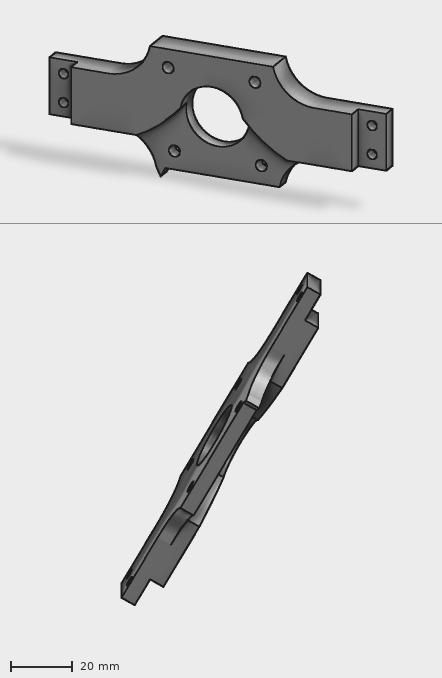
import cadquery as cq
import math

length = 120.0
thickness = 10.0
rear_thickness = thickness / 2
bar_half_height = 10.0
plate_half_size = 22.0
half_length = length / 2

shoulder_radius = 15.0
shoulder_centre_z = bar_half_height + shoulder_radius
shoulder_run = math.sqrt(shoulder_radius**2 - (shoulder_centre_z - plate_half_size) ** 2)
shoulder_centre_x = plate_half_size + shoulder_run

tab_length = 10.0
tab_hole_x = 55.0
tab_hole_z = 5.0
tab_hole_diameter = 3.4
bore_diameter = 22.5
mount_hole_offset = 15.5
mount_hole_diameter = 4.0

relief_outer_x = 26.8
relief_middle = (16.0, -2.9)
relief_inner = (11.0, 2.2)

spur_tip = (-20.4, -25.2)
spur_end_x = -18.7


def slab(outline, front_y, depth):
    """Extrude a closed XZ outline toward +Y from front_y."""
    return outline.extrude(-depth).translate((0, front_y, 0))


def rectangle(width, height):
    return cq.Workplane("XZ").rect(width, height)


def through_holes(points, diameter):
    return cq.Workplane("XZ").pushPoints(points).circle(diameter / 2).extrude(-thickness)


def corner_points(x, z):
    return [(sx * x, sz * z) for sx in (-1, 1) for sz in (-1, 1)]


def full_profile():
    """Plate and arms with a concave shoulder at each corner of the plate."""
    plate = slab(rectangle(2 * shoulder_centre_x, 2 * plate_half_size), 0, thickness)
    shoulders = through_holes(
        corner_points(shoulder_centre_x, shoulder_centre_z), 2 * shoulder_radius
    )
    arms = slab(rectangle(length, 2 * bar_half_height), 0, thickness)
    return plate.cut(shoulders).union(arms)


def front_relief():
    """Front layer removed below the arms and between the two arcs."""
    middle_x, middle_z = relief_middle
    inner_x, inner_z = relief_inner
    outline = (
        cq.Workplane("XZ")
        .moveTo(-half_length, -bar_half_height)
        .lineTo(-relief_outer_x, -bar_half_height)
        .threePointArc((-middle_x, middle_z), (-inner_x, inner_z))
        .lineTo(inner_x, inner_z)
        .threePointArc((middle_x, middle_z), (relief_outer_x, -bar_half_height))
        .lineTo(half_length, -bar_half_height)
        .lineTo(half_length, -plate_half_size)
        .lineTo(-half_length, -plate_half_size)
        .close()
    )
    return slab(outline, 0, thickness - rear_thickness)


def tab_steps():
    """Front layer removed at both ends to leave the thin tabs."""
    tab_centre_x = half_length - tab_length / 2
    outline = (
        cq.Workplane("XZ")
        .pushPoints([(-tab_centre_x, 0), (tab_centre_x, 0)])
        .rect(tab_length, 2 * bar_half_height)
    )
    return slab(outline, 0, thickness - rear_thickness)


def spur():
    plate_corner = (-plate_half_size, -plate_half_size)
    spur_end = (spur_end_x, -plate_half_size)
    outline = cq.Workplane("XZ").polyline([plate_corner, spur_tip, spur_end]).close()
    return slab(outline, thickness - rear_thickness, rear_thickness)


body = full_profile().cut(front_relief()).cut(tab_steps()).union(spur())
body = body.cut(through_holes([(0, 0)], bore_diameter))
body = body.cut(through_holes(corner_points(mount_hole_offset, mount_hole_offset), mount_hole_diameter))
result = body.cut(through_holes(corner_points(tab_hole_x, tab_hole_z), tab_hole_diameter))